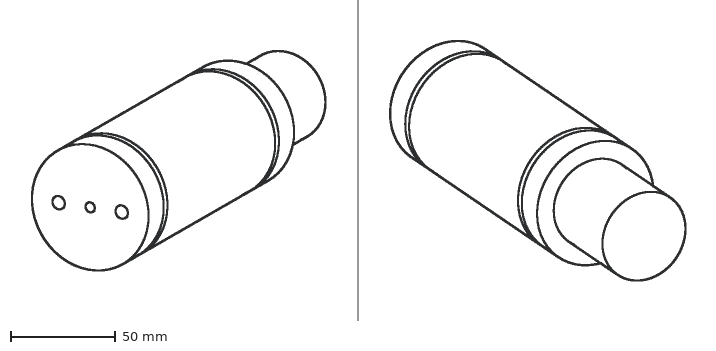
import cadquery as cq
import math

total_length = 205.0
body_length = 154.0
body_diameter = 63.0
rod_diameter = 45.0

groove_radius = 2.0
groove_inset = 18.0

mount_hole_diameter = 6.65
mount_hole_spacing = 34.0
mount_hole_depth = 13.0
fill_hole_diameter = 5.0
fill_hole_depth = 10.0
drill_point_angle = 118.0


def cylinder(diameter, length):
    """Solid cylinder on the Y axis, rising from the base plane."""
    return cq.Workplane("XZ").circle(diameter / 2).extrude(-length)


def ring_groove(y_center):
    """Torus that cuts a half-round groove into the body surface."""
    torus = cq.Solid.makeTorus(
        body_diameter / 2, groove_radius, cq.Vector(0, y_center, 0), cq.Vector(0, 1, 0)
    )
    return cq.Workplane(obj=torus)


def drilled_hole(x_center, diameter, depth):
    """Blind hole from the base with a conical drill point beyond its full-diameter depth."""
    radius = diameter / 2
    point_length = radius / math.tan(math.radians(drill_point_angle / 2))
    profile = (
        cq.Workplane("XY")
        .lineTo(radius, 0)
        .lineTo(radius, depth)
        .lineTo(0, depth + point_length)
        .close()
    )
    return profile.revolve(360, (0, 0, 0), (0, 1, 0)).translate((x_center, 0, 0))


result = cylinder(body_diameter, body_length).union(cylinder(rod_diameter, total_length))

for groove_y in (groove_inset, body_length - groove_inset):
    result = result.cut(ring_groove(groove_y))

result = result.cut(drilled_hole(0, fill_hole_diameter, fill_hole_depth))
for side in (-1, 1):
    mount_hole_x = side * mount_hole_spacing / 2
    result = result.cut(drilled_hole(mount_hole_x, mount_hole_diameter, mount_hole_depth))